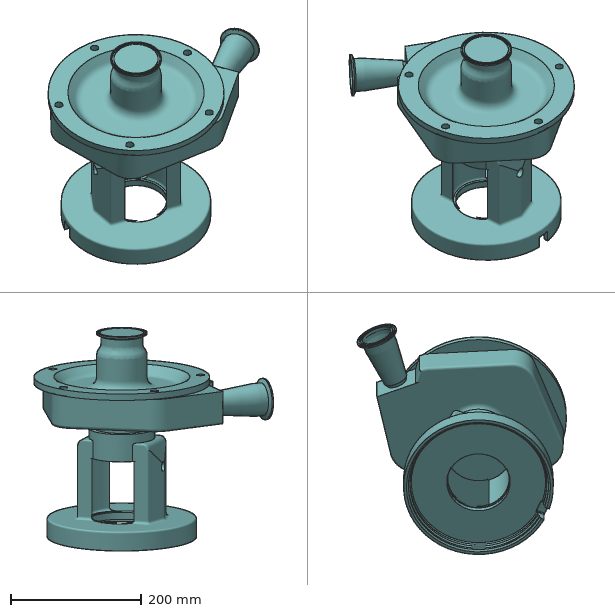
import cadquery as cq
import math

base_top = 29.8
collar_bottom = 126.6
leg_top = 155.0
collar_top = 169.5
volute_bottom = 188.5
flange_bottom = 240.0
flange_thickness = 10.0
flange_top = flange_bottom + flange_thickness
dish_floor = 234.5
overall_height = 319.5

base_radius = 115.0
base_top_fillet = 3.0
base_hole_radius = 48.5
base_hole_chamfer = 2.0
recess_ceiling = 17.0
recess_bevel = 1.9
rim_inner_radius = 105.0
rim_step_radius = 107.5
rim_mouth_radius = 110.5
rim_mouth_height = 2.0
rim_step_start = 6.5
rim_step_end = 8.7
notch_width = 19.6
notch_height = 18.8
notch_length = 14.0
notch_chamfer = 1.5

leg_half_width = 38.9
leg_inner_radius = 52.0
leg_ridge_y = 69.5
leg_shoulder_y = 58.3
leg_ridge_fillet = 10.0
leg_side_fillet = 3.0
leg_top_fillet = 10.0
leg_base_fillet = 5.0
leg_hole_radius = 7.3
leg_hole_z = 114.5
leg_slope_start = 117.0
leg_hole_depth = 12.0
leg_slope_angle = 20.0

collar_radius = 50.6
neck_radius = 41.5
neck_fillet = 9.5

side_count = 5
side_step = 360 / side_count
first_side_angle = 9.0
side_distance = 115.0
outlet_angle = 135.0
outlet_face_distance = 114.5
outlet_flank_angle = 54.0
outlet_flank_distance = 139.6
corner_trim_distance = 133.0
corner_radius_top = 34.0
corner_radius_bottom = 38.0
volute_bottom_fillet = 4.0

flange_radius = 135.0
dish_rim_radius = 104.5
dish_fillet = 15.0
bolt_circle_radius = 121.7
bolt_hole_radius = 6.1
bolt_hole_depth = 15.0
first_bolt_angle = first_side_angle + side_step / 2

pipe_radius = 38.9
inlet_neck_radius = 32.3
reducer_bottom = 284.5
reducer_top = 301.5
inlet_ferrule_radius = pipe_radius
inlet_groove_inner = 34.0
inlet_groove_outer = 36.8
groove_depth = 1.5

nozzle_offset = 90.0
nozzle_z = 215.0
nozzle_face_distance = 200.5
nozzle_ferrule_radius = 32.0
nozzle_pipe_radius = 25.4
nozzle_pipe_length = 19.0
nozzle_tip_radius = 18.7
nozzle_root_radius = 15.5
nozzle_cone_length = 80.0
nozzle_bore_radius = 23.6
nozzle_bore_straight = 12.0
nozzle_bore_taper_radius = 21.8
nozzle_bore_taper_depth = 25.0
nozzle_bore_end_radius = 16.0
nozzle_groove_inner = 26.5
nozzle_groove_outer = 29.3

ferrule_rim = 2.5
ferrule_depth = 5.5


def direction(angle):
    """Unit vector in the XY plane at an angle in degrees."""
    return math.cos(math.radians(angle)), math.sin(math.radians(angle))


def cylinder(radius, bottom, top):
    return cq.Workplane("XY").workplane(offset=bottom).circle(radius).extrude(top - bottom)


def make_base():
    plate = cylinder(base_radius, 0, base_top).faces(">Z").edges().fillet(base_top_fillet)
    recess = (
        cq.Workplane("XZ")
        .moveTo(0, 0)
        .lineTo(rim_mouth_radius, 0)
        .lineTo(rim_step_radius, rim_mouth_height)
        .lineTo(rim_step_radius, rim_step_start)
        .lineTo(rim_inner_radius, rim_step_end)
        .lineTo(rim_inner_radius, recess_ceiling - recess_bevel)
        .lineTo(rim_inner_radius - recess_bevel, recess_ceiling)
        .lineTo(0, recess_ceiling)
        .close()
        .revolve(360, (0, 0, 0), (0, 1, 0))
    )
    notch = (
        cq.Workplane("XY")
        .box(notch_width, notch_length, notch_height, centered=(True, False, False))
        .edges("|Y and >Z")
        .chamfer(notch_chamfer)
        .translate((0, -base_radius, 0))
    )
    return plate.cut(recess).cut(notch)


def make_leg():
    """Leg on the -Y side, ridged along its outer face and sloped off at the top."""
    leg = (
        cq.Workplane("XY")
        .workplane(offset=base_top)
        .moveTo(-leg_half_width, 0)
        .lineTo(-leg_half_width, -leg_shoulder_y)
        .lineTo(0, -leg_ridge_y)
        .lineTo(leg_half_width, -leg_shoulder_y)
        .lineTo(leg_half_width, 0)
        .close()
        .extrude(leg_top - base_top)
    )
    slope_run = (leg_top - leg_slope_start) * math.tan(math.radians(leg_slope_angle))
    slope_wedge = (
        cq.Workplane("YZ")
        .moveTo(-leg_ridge_y, leg_slope_start)
        .lineTo(-leg_ridge_y + slope_run, leg_top)
        .lineTo(-leg_ridge_y, leg_top)
        .close()
        .extrude(leg_half_width, both=True)
    )
    leg = leg.edges("|Z and <Y").fillet(leg_ridge_fillet)
    leg = leg.cut(slope_wedge)
    leg = leg.faces(">Z").edges("<Y").fillet(leg_top_fillet)

    outer_and_top = cq.selectors.BoxSelector(
        (-leg_half_width - 1, -leg_ridge_y, base_top + 1),
        (leg_half_width + 1, -1, leg_top + 1),
    )
    leg = leg.faces("<X or >X").edges(outer_and_top).fillet(leg_side_fillet)
    clearance = cylinder(leg_inner_radius, base_top, collar_bottom)
    return leg.cut(clearance)


def make_leg_hole():
    return (
        cq.Workplane("XZ", origin=(0, -leg_ridge_y, leg_hole_z))
        .circle(leg_hole_radius)
        .extrude(-leg_hole_depth)
    )


def make_base_hole():
    """Through hole with a chamfered upper mouth, as a solid to remove."""
    return (
        cq.Workplane("XZ")
        .moveTo(0, 0)
        .lineTo(base_hole_radius, 0)
        .lineTo(base_hole_radius, base_top - base_hole_chamfer)
        .lineTo(base_hole_radius + base_hole_chamfer, base_top)
        .lineTo(0, base_top)
        .close()
        .revolve(360, (0, 0, 0), (0, 1, 0))
    )


def make_stand():
    leg = make_leg()
    stand = make_base().union(leg).union(leg.mirror("XZ"))
    foot_zone = cq.selectors.BoxSelector(
        (-leg_half_width - 1, -leg_ridge_y - 1, base_top - 1),
        (leg_half_width + 1, leg_ridge_y + 1, base_top + 1),
    )
    stand = stand.edges(foot_zone).fillet(leg_base_fillet)
    stand = stand.cut(make_base_hole())
    hole = make_leg_hole()
    return stand.cut(hole).cut(hole.mirror("XZ"))


def make_collar_and_neck():
    collar = cylinder(collar_radius, collar_bottom, collar_top)
    neck = (
        cq.Workplane("XZ")
        .moveTo(0, collar_top)
        .lineTo(neck_radius, collar_top)
        .lineTo(neck_radius, volute_bottom - neck_fillet)
        .radiusArc((neck_radius + neck_fillet, volute_bottom), neck_fillet)
        .lineTo(0, volute_bottom)
        .close()
        .revolve(360, (0, 0, 0), (0, 1, 0))
    )
    return collar.union(neck)


def line_crossing(first, second):
    """Crossing point of two lines, each given by its normal angle and distance from the axis."""
    (angle_a, distance_a), (angle_b, distance_b) = first, second
    ax, ay = direction(angle_a)
    bx, by = direction(angle_b)
    det = ax * by - ay * bx
    return (distance_a * by - distance_b * ay) / det, (ax * distance_b - bx * distance_a) / det


def rounded_outline(plane, sides, radius):
    """Closed outline from (normal angle, distance, rounded) sides listed counter-clockwise.

    The flag tells whether the corner at the start of a side is rounded or left sharp.
    """
    outline = plane
    for i, (angle, distance, rounded) in enumerate(sides):
        previous_angle, previous_distance, _ = sides[i - 1]
        before = (previous_angle, previous_distance)
        after = (angle, distance)
        if rounded:
            center_x, center_y = line_crossing(
                (previous_angle, previous_distance - radius), (angle, distance - radius)
            )
            normals = (previous_angle, previous_angle + (angle - previous_angle) % 360 / 2, angle)
            arc = [
                (center_x + radius * direction(normal)[0], center_y + radius * direction(normal)[1])
                for normal in normals
            ]
        else:
            arc = [line_crossing(before, after)]
        outline = outline.moveTo(*arc[0]) if i == 0 else outline.lineTo(*arc[0])
        if rounded:
            outline = outline.threePointArc(*arc[1:])
    return outline.close()


def make_volute():
    """Casing whose rounded corners widen toward the bottom."""
    sides = [(first_side_angle + i * side_step, side_distance, True) for i in range(side_count)]
    outlet_flank = (outlet_flank_angle, outlet_flank_distance, True)
    outlet_face = (outlet_angle, outlet_face_distance, False)
    outlet_return = (first_side_angle + side_step, side_distance, False)
    corner_trim = (outlet_angle, corner_trim_distance, False)
    outline = [sides[0], outlet_flank, outlet_face, outlet_return, corner_trim] + sides[2:]

    lower = rounded_outline(
        cq.Workplane("XY").workplane(offset=volute_bottom), outline, corner_radius_bottom
    )
    both = rounded_outline(
        lower.workplane(offset=flange_bottom - volute_bottom), outline, corner_radius_top
    )
    body = both.loft(ruled=True)
    flank_end = line_crossing((outlet_flank_angle, outlet_flank_distance), outlet_face[:2])
    return_end = line_crossing(outlet_face[:2], outlet_return[:2])
    middle_x = (flank_end[0] + return_end[0]) / 2
    middle_y = (flank_end[1] + return_end[1]) / 2
    at_outlet = cq.selectors.BoxSelector(
        (middle_x - 1, middle_y - 1, volute_bottom - 1), (middle_x + 1, middle_y + 1, volute_bottom + 1)
    )
    filleted = cq.selectors.InverseSelector(at_outlet)
    return body.faces("<Z").edges().edges(filleted).fillet(volute_bottom_fillet)


def make_cover():
    return cylinder(flange_radius, flange_bottom, flange_top)


def make_dish():
    """Dish with a 45 degree wall and filleted floor, as a solid to remove."""
    half = math.radians(45)
    fillet_drop = dish_fillet * (1 - math.cos(half))
    wall_foot_z = dish_floor + fillet_drop
    wall_foot_radius = dish_rim_radius - (flange_top - wall_foot_z)
    floor_radius = wall_foot_radius - dish_fillet * math.sin(half)
    return (
        cq.Workplane("XZ")
        .moveTo(0, flange_top)
        .lineTo(dish_rim_radius, flange_top)
        .lineTo(wall_foot_radius, wall_foot_z)
        .radiusArc((floor_radius, dish_floor), dish_fillet)
        .lineTo(pipe_radius + dish_fillet, dish_floor)
        .radiusArc((pipe_radius, dish_floor + dish_fillet), dish_fillet)
        .lineTo(pipe_radius, flange_top)
        .lineTo(0, flange_top)
        .close()
        .revolve(360, (0, 0, 0), (0, 1, 0))
    )


def make_bolt_holes():
    return (
        cq.Workplane("XY")
        .workplane(offset=flange_top)
        .polarArray(bolt_circle_radius, first_bolt_angle, 360, side_count)
        .circle(bolt_hole_radius)
        .extrude(-bolt_hole_depth)
    )


def make_groove(inner_radius, outer_radius, face_z):
    """Ring to remove from a clamp face for its gasket."""
    return (
        cq.Workplane("XY")
        .workplane(offset=face_z)
        .circle(outer_radius)
        .circle(inner_radius)
        .extrude(-groove_depth)
    )


def make_inlet():
    ferrule_start = overall_height - ferrule_depth
    pipe = (
        cq.Workplane("XZ")
        .moveTo(0, dish_floor)
        .lineTo(pipe_radius, dish_floor)
        .lineTo(pipe_radius, reducer_bottom)
        .spline([(inlet_neck_radius, reducer_top)], tangents=[(0, 1), (0, 1)], includeCurrent=True)
        .lineTo(inlet_neck_radius, ferrule_start)
        .lineTo(inlet_ferrule_radius, overall_height - ferrule_rim)
        .lineTo(inlet_ferrule_radius, overall_height)
        .lineTo(0, overall_height)
        .close()
        .revolve(360, (0, 0, 0), (0, 1, 0))
    )
    return pipe.cut(make_groove(inlet_groove_inner, inlet_groove_outer, overall_height))


def make_nozzle_profiles():
    """Nozzle and its bore, about Z, with the clamp face at z = 0 and the root below it."""
    root = outlet_face_distance - nozzle_face_distance
    nozzle = (
        cq.Workplane("XZ")
        .moveTo(0, 0)
        .lineTo(nozzle_ferrule_radius, 0)
        .lineTo(nozzle_ferrule_radius, -ferrule_rim)
        .lineTo(nozzle_pipe_radius, -ferrule_depth)
        .lineTo(nozzle_pipe_radius, -nozzle_pipe_length)
        .lineTo(nozzle_tip_radius, -nozzle_cone_length)
        .lineTo(nozzle_root_radius, root)
        .lineTo(0, root)
        .close()
        .revolve(360, (0, 0, 0), (0, 1, 0))
    )
    bore = (
        cq.Workplane("XZ")
        .moveTo(0, 0)
        .lineTo(nozzle_bore_radius, 0)
        .lineTo(nozzle_bore_radius, -nozzle_bore_straight)
        .lineTo(nozzle_bore_taper_radius, -nozzle_bore_taper_depth)
        .lineTo(nozzle_bore_end_radius, -nozzle_cone_length)
        .lineTo(0, -nozzle_cone_length)
        .close()
        .revolve(360, (0, 0, 0), (0, 1, 0))
    )
    return nozzle.cut(bore).cut(make_groove(nozzle_groove_inner, nozzle_groove_outer, 0))


def make_nozzle():
    outward_x, outward_y = direction(outlet_angle)
    side_x, side_y = direction(outlet_angle - 90)
    face_x = nozzle_face_distance * outward_x + nozzle_offset * side_x
    face_y = nozzle_face_distance * outward_y + nozzle_offset * side_y
    return (
        make_nozzle_profiles()
        .rotate((0, 0, 0), (0, 1, 0), 90)
        .rotate((0, 0, 0), (0, 0, 1), outlet_angle)
        .translate((face_x, face_y, nozzle_z))
    )


result = make_stand().union(make_collar_and_neck())
result = result.union(make_volute()).union(make_cover()).cut(make_dish())
result = result.union(make_inlet()).union(make_nozzle())
result = result.cut(make_bolt_holes())